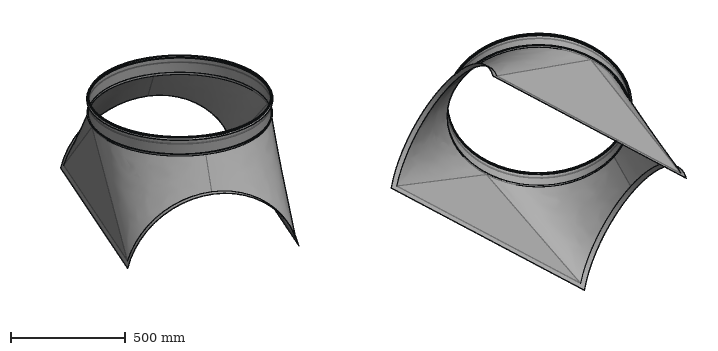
import cadquery as cq
import math

sheet = 0.45

saddle_inner_radius = 800.0 / 2
saddle_outer_radius = saddle_inner_radius + sheet
saddle_length = 1025.0
saddle_edge_angle = 13.5
rim_width = 25.0
opening_half_length = saddle_length / 2 - rim_width
opening_angle = saddle_edge_angle + math.degrees(rim_width / saddle_outer_radius)

overall_height = 541.33
saddle_bottom = saddle_inner_radius * math.sin(math.radians(saddle_edge_angle))
collar_top = saddle_bottom + overall_height
step_depth = 34.0
step_height = 3.0
collar_height = 84.5
neck_height = 11.0
collar_bottom = collar_top - collar_height
neck_bottom = collar_bottom - neck_height

collar_radius = 798.65 / 2
mouth_radius = 797.65 / 2
groove_radius = 793.85 / 2
collar_foot_radius = 809.65 / 2
groove_top = collar_top - 4.0
groove_bottom = collar_top - 14.0

gasket_shoulder_radius = 804.05 / 2
lip_tip_radius = 813.08 / 2
gasket_shoulder_height = collar_top - 6.5
lip_tip_top = collar_top - 14.0
lip_tip_bottom = collar_top - 15.5
lip_root_bottom = collar_top - 11.0


def point_on_duct(x, radius, degrees):
    """Point at the given angle above the +Y horizontal on a cylinder around X."""
    angle = math.radians(degrees)
    return cq.Vector(x, radius * math.cos(angle), radius * math.sin(angle))


def transition_block(top_radius, half_length, foot_radius, foot_angle):
    """Solid going from a circle at the neck to two arcs across the duct.

    Each quarter of the circle is joined by straight lines to half of an end arc,
    and a flat triangle closes each long side.
    """
    circle_points = {
        (1, 0): cq.Vector(top_radius, 0, neck_bottom),
        (0, 1): cq.Vector(0, top_radius, neck_bottom),
        (-1, 0): cq.Vector(-top_radius, 0, neck_bottom),
        (0, -1): cq.Vector(0, -top_radius, neck_bottom),
    }
    feet = {}
    circle_arcs = []
    faces = []

    for end in (1, -1):
        x = end * half_length
        crown = point_on_duct(x, foot_radius, 90)
        end_arcs = []
        for side in (1, -1):
            foot = point_on_duct(x, foot_radius, 90 - side * (90 - foot_angle))
            feet[end, side] = foot
            diagonal = top_radius * math.sqrt(0.5)
            circle_arc = cq.Edge.makeThreePointArc(
                circle_points[0, side],
                cq.Vector(end * diagonal, side * diagonal, neck_bottom),
                circle_points[end, 0],
            )
            middle_angle = 90 - side * (90 - foot_angle) / 2
            end_arc = cq.Edge.makeThreePointArc(
                foot, point_on_duct(x, foot_radius, middle_angle), crown
            )
            circle_arcs.append(circle_arc)
            end_arcs.append(end_arc)
            faces.append(cq.Face.makeRuledSurface(circle_arc, end_arc))
        chord = cq.Edge.makeLine(feet[end, 1], feet[end, -1])
        faces.append(cq.Face.makeFromWires(cq.Wire.assembleEdges([end_arcs[0], end_arcs[1], chord])))

    for side in (1, -1):
        corners = [feet[1, side], feet[-1, side], circle_points[0, side]]
        faces.append(cq.Face.makeFromWires(cq.Wire.makePolygon(corners, close=True)))

    base = [feet[1, 1], feet[1, -1], feet[-1, -1], feet[-1, 1]]
    faces.append(cq.Face.makeFromWires(cq.Wire.makePolygon(base, close=True)))
    faces.append(cq.Face.makeFromWires(cq.Wire.combine(circle_arcs)[0]))
    return cq.Workplane(cq.Solid.makeSolid(cq.Shell.makeShell(faces)))


def duct_cylinder(radius):
    return cq.Workplane("YZ").circle(radius).extrude(saddle_length / 2, both=True)


def saddle_sheet():
    """Arched sheet with its long edges cut square to the sheet."""
    outline = (
        cq.Workplane("YZ")
        .moveTo(*point_on_duct(0, saddle_inner_radius, saddle_edge_angle).toTuple()[1:])
        .lineTo(*point_on_duct(0, saddle_outer_radius, saddle_edge_angle).toTuple()[1:])
        .threePointArc(
            (0, saddle_outer_radius),
            point_on_duct(0, saddle_outer_radius, 180 - saddle_edge_angle).toTuple()[1:],
        )
        .lineTo(*point_on_duct(0, saddle_inner_radius, 180 - saddle_edge_angle).toTuple()[1:])
        .threePointArc(
            (0, saddle_inner_radius),
            point_on_duct(0, saddle_inner_radius, saddle_edge_angle).toTuple()[1:],
        )
        .close()
    )
    return outline.extrude(saddle_length / 2, both=True)


def make_saddle():
    """Saddle sheet, transition and short round neck in one piece."""
    outside = transition_block(
        collar_radius, opening_half_length, saddle_outer_radius, opening_angle
    )
    inside = transition_block(
        collar_radius - sheet,
        opening_half_length - sheet,
        saddle_inner_radius,
        opening_angle + math.degrees(sheet / saddle_outer_radius),
    )
    neck = (
        cq.Workplane("XY", origin=(0, 0, neck_bottom))
        .circle(collar_radius)
        .circle(collar_radius - sheet)
        .extrude(neck_height)
    )
    shell = outside.cut(inside).cut(duct_cylinder(saddle_inner_radius))
    return saddle_sheet().cut(inside).union(shell).union(neck)


def revolve_about_z(profile):
    """Ring swept from a closed outline of (radius, height) points."""
    return cq.Workplane("XZ").polyline(profile).close().revolve(360, (0, 0), (0, 1))


def make_collar():
    step_top = collar_top - step_depth
    step_bottom = step_top - step_height
    outside = [
        (mouth_radius, collar_top),
        (mouth_radius, groove_top),
        (groove_radius, groove_top),
        (groove_radius, groove_bottom),
        (mouth_radius, groove_bottom),
        (mouth_radius, step_top),
        (collar_radius, step_bottom),
        (collar_radius, collar_bottom + sheet),
        (collar_foot_radius, collar_bottom + sheet),
        (collar_foot_radius, collar_bottom),
    ]
    inside = [
        (collar_radius - sheet, collar_bottom),
        (collar_radius - sheet, step_bottom),
        (mouth_radius - sheet, step_top),
        (mouth_radius - sheet, groove_bottom - sheet),
        (groove_radius - sheet, groove_bottom - sheet),
        (groove_radius - sheet, groove_top + sheet),
        (mouth_radius - sheet, groove_top + sheet),
        (mouth_radius - sheet, collar_top),
    ]
    return revolve_about_z(outside + inside)


def make_gasket():
    return revolve_about_z([
        (groove_radius, groove_top),
        (mouth_radius, groove_top),
        (gasket_shoulder_radius, gasket_shoulder_height),
        (lip_tip_radius, lip_tip_top),
        (lip_tip_radius, lip_tip_bottom),
        (mouth_radius, lip_root_bottom),
        (mouth_radius, groove_bottom),
        (groove_radius, groove_bottom),
    ])


saddle = make_saddle()
collar = make_collar()
gasket = make_gasket()

result = cq.Compound.makeCompound([saddle.solids().val(), collar.val(), gasket.val()])